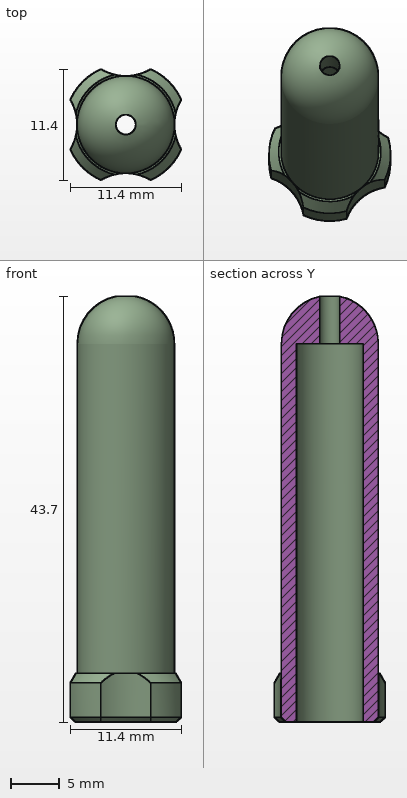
import cadquery as cq
import math

total_height = 43.65
body_diameter = 10.0
hole_diameter = 2.0
bore_diameter = 6.8
collar_width = 11.4
collar_diameter = 12.5
collar_height = 5.0
collar_top_chamfer = 1.0
collar_bottom_chamfer = 0.5
flute_count = 4

body_radius = body_diameter / 2
hole_radius = hole_diameter / 2
collar_radius = collar_diameter / 2
dome_center_height = total_height - math.sqrt(body_radius**2 - hole_radius**2)
shaft_start_height = collar_height / 2
flute_half_width = math.sqrt(collar_radius**2 - (collar_width / 2) ** 2)
flute_depth = collar_width / 2 - body_radius
flute_radius = (flute_half_width**2 + flute_depth**2) / (2 * flute_depth)
flute_center_distance = body_radius + flute_radius


def make_body():
    """Round shaft closed by a hemispherical dome."""
    shaft = (
        cq.Workplane("XY")
        .workplane(offset=shaft_start_height)
        .circle(body_radius)
        .extrude(dome_center_height - shaft_start_height)
    )
    dome = cq.Workplane("XY").sphere(body_radius).translate((0, 0, dome_center_height))
    return shaft.union(dome)


def make_collar():
    """Four-lobed grip with a conical top and a bevel along its bottom outline."""
    blank = cq.Workplane("XY").circle(collar_radius).extrude(collar_height)
    blank = blank.faces(">Z").edges().chamfer(collar_top_chamfer)
    flutes = (
        cq.Workplane("XY")
        .polarArray(flute_center_distance, 0, 360, flute_count)
        .circle(flute_radius)
        .extrude(collar_height)
    )
    return blank.cut(flutes).faces("<Z").edges().chamfer(collar_bottom_chamfer)


def make_passage():
    """Wide blind bore up to the dome base, then a narrow hole out past the dome tip."""
    bore = cq.Workplane("XY").circle(bore_diameter / 2).extrude(dome_center_height)
    hole = cq.Workplane("XY").circle(hole_radius).extrude(dome_center_height + body_diameter)
    return bore.union(hole)


result = make_body().union(make_collar()).cut(make_passage())